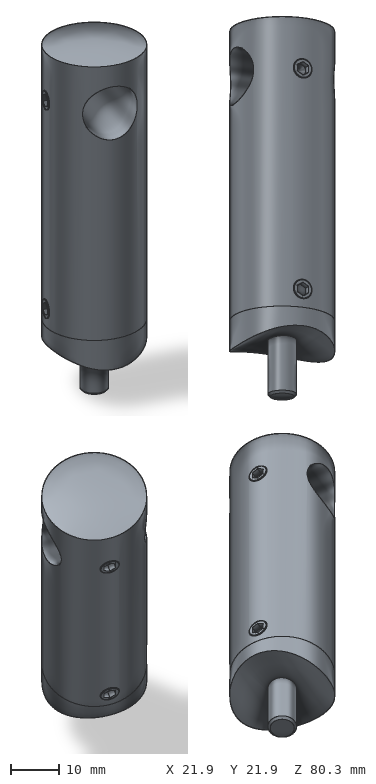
import cadquery as cq
import math

post_diameter = 21.9
post_height = 63.0
total_height = 80.34

cross_hole_diameter = 12.2
cross_hole_z = 52.0

saddle_web = 4.0
rail_diameter = 42.4

stud_diameter = 6.0
stud_tip_diameter = 5.0
stud_projection = 12.4

screw_diameter = 4.2
screw_length = 4.0
screw_chamfer = 0.15
socket_across_flats = 2.5
socket_depth = 1.5
socket_cone_angle = 120.0
lower_screw_z = 4.0
upper_screw_z = cross_hole_z

post_radius = post_diameter / 2
rail_radius = rail_diameter / 2
saddle_depth = saddle_web + rail_radius - math.sqrt(rail_radius**2 - post_radius**2)
stud_bottom_z = -saddle_web - stud_projection
stud_chamfer = (stud_diameter - stud_tip_diameter) / 2
dome_top_z = total_height + stud_bottom_z
dome_rise = dome_top_z - post_height
dome_radius = (post_radius**2 + dome_rise**2) / (2 * dome_rise)
screw_face_y = -post_radius
screw_end_y = screw_face_y + screw_length
socket_across_corners = socket_across_flats / math.cos(math.pi / 6)
socket_floor_y = screw_face_y + socket_depth
socket_cone_radius = socket_across_flats / 2
socket_cone_depth = socket_cone_radius / math.tan(math.radians(socket_cone_angle / 2))


def outward_plane(y, z):
    """Plane facing -Y at the given depth and height, centred on the post."""
    return cq.Plane(origin=(0, y, z), xDir=(1, 0, 0), normal=(0, -1, 0))


def make_post():
    """Domed cylinder with a cross hole along X and two blind screw holes."""
    cylinder = cq.Workplane("XY").circle(post_radius).extrude(dome_top_z)
    dome_ball = (
        cq.Workplane("XY")
        .sphere(dome_radius)
        .rotate((0, 0, 0), (1, 0, 0), 90)
        .translate((0, 0, dome_top_z - dome_radius))
    )
    cross_hole = (
        cq.Workplane("YZ")
        .center(0, cross_hole_z)
        .circle(cross_hole_diameter / 2)
        .extrude(post_radius, both=True)
    )
    post = cylinder.intersect(dome_ball).cut(cross_hole)
    for z in (lower_screw_z, upper_screw_z):
        screw_hole = (
            cq.Workplane(outward_plane(screw_end_y, z))
            .circle(screw_diameter / 2)
            .extrude(post_radius)
        )
        post = post.cut(screw_hole)
    return post


def make_saddle():
    """Foot disc hollowed by the rail along Y, with a through hole for the stud."""
    disc = cq.Workplane("XY").circle(post_radius).extrude(-saddle_depth)
    rail = (
        cq.Workplane("XZ")
        .center(0, -saddle_web - rail_radius)
        .circle(rail_radius)
        .extrude(post_diameter, both=True)
    )
    stud_hole = cq.Workplane("XY").circle(stud_diameter / 2).extrude(-saddle_depth)
    return disc.cut(rail).cut(stud_hole)


def make_stud():
    """Plain stud from the joint down past the saddle, chamfered at its tip."""
    stud = cq.Workplane("XY").circle(stud_diameter / 2).extrude(stud_bottom_z)
    return stud.faces("<Z").chamfer(stud_chamfer)


def make_set_screw(z):
    """Headless screw with a chamfered face and a flat-bottomed hexagon socket."""
    face_plane = outward_plane(screw_face_y, z)
    body = (
        cq.Workplane(face_plane)
        .circle(screw_diameter / 2)
        .extrude(-screw_length)
        .faces("<Y")
        .chamfer(screw_chamfer)
    )
    socket = (
        cq.Workplane(face_plane)
        .transformed(rotate=(0, 0, 90))
        .polygon(6, socket_across_corners)
        .extrude(-socket_depth)
    )
    return body.cut(socket)


def make_drilled_set_screw(z):
    """Set screw whose socket floor carries a conical drill point."""
    drill_point = cq.Solid.makeCone(
        socket_cone_radius,
        0,
        socket_cone_depth,
        pnt=cq.Vector(0, socket_floor_y, z),
        dir=cq.Vector(0, 1, 0),
    )
    return make_set_screw(z).cut(cq.Workplane(drill_point))


post = make_post()
saddle = make_saddle()
stud = make_stud()
lower_set_screw = make_set_screw(lower_screw_z)
upper_set_screw = make_drilled_set_screw(upper_screw_z)

bodies = [post, saddle, stud, lower_set_screw, upper_set_screw]
result = cq.Compound.makeCompound([body.solids().val() for body in bodies])